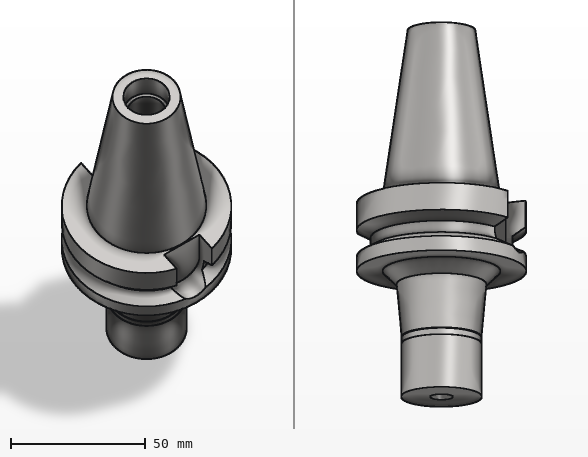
import cadquery as cq

TOTAL_HEIGHT = 140.4
TAPER_BOTTOM = 75.1
FLANGE_TOP = 74.0
UPPER_LIP_BOTTOM = 63.7
GROOVE_TOP = 60.8
GROOVE_BOTTOM = 56.5
LOWER_LIP_TOP = 53.6
FLANGE_BOTTOM = 48.2
NECK_TOP = 43.1
NUT_HEIGHT = 22.6
NUT_BAND_HEIGHT = 20.2

TAPER_TOP_RADIUS = 12.6
TAPER_BOTTOM_RADIUS = 22.2
FLANGE_DIAMETER = 63.0
FLANGE_RADIUS = FLANGE_DIAMETER / 2
GROOVE_RADIUS = 26.4
SHOULDER_RADIUS = 21.9
NECK_TOP_RADIUS = 16.7

NUT_RADIUS = 15.0
NUT_BAND_RADIUS = 14.9
NUT_GAP = 0.3
SPIGOT_RADIUS = 11.8
SPIGOT_ENGAGEMENT = 11.2
NECK_BOTTOM = NUT_HEIGHT + NUT_GAP
NECK_BOTTOM_RADIUS = NUT_BAND_RADIUS
SPIGOT_BOTTOM = NUT_HEIGHT - SPIGOT_ENGAGEMENT

COUNTERBORE_RADIUS = 8.5
COUNTERBORE_DEPTH = 9.3
BORE_RADIUS = 7.2
BORE_BOTTOM = FLANGE_BOTTOM
THROUGH_HOLE_RADIUS = 4.2

SLOT_WIDTH = 16.1
SLOT_INNER_X = 22.5
SLOT_BOTTOM = 52.2


def cylinder(radius, bottom, top):
    """Upright cylinder on the Z axis."""
    return cq.Workplane("XY").workplane(offset=bottom).circle(radius).extrude(top - bottom)


def revolve_profile(points):
    """Revolve (radius, height) points around the Z axis."""
    return cq.Workplane("XZ").polyline(points).close().revolve(360, (0, 0), (0, 1))


def holder_blank():
    """Spigot, tapered neck, grooved flange and spindle taper."""
    return revolve_profile([
        (0, SPIGOT_BOTTOM),
        (SPIGOT_RADIUS, SPIGOT_BOTTOM),
        (SPIGOT_RADIUS, NECK_BOTTOM),
        (NECK_BOTTOM_RADIUS, NECK_BOTTOM),
        (NECK_TOP_RADIUS, NECK_TOP),
        (SHOULDER_RADIUS, FLANGE_BOTTOM),
        (FLANGE_RADIUS, FLANGE_BOTTOM),
        (FLANGE_RADIUS, LOWER_LIP_TOP),
        (GROOVE_RADIUS, GROOVE_BOTTOM),
        (GROOVE_RADIUS, GROOVE_TOP),
        (FLANGE_RADIUS, UPPER_LIP_BOTTOM),
        (FLANGE_RADIUS, FLANGE_TOP),
        (TAPER_BOTTOM_RADIUS, FLANGE_TOP),
        (TAPER_BOTTOM_RADIUS, TAPER_BOTTOM),
        (TAPER_TOP_RADIUS, TOTAL_HEIGHT),
        (0, TOTAL_HEIGHT),
    ])


def drive_slot(side):
    """Cutter for one drive slot; side is -1 or 1 along X."""
    half_width = SLOT_WIDTH / 2
    arc_center_z = SLOT_BOTTOM + half_width
    return (
        cq.Workplane("YZ")
        .workplane(offset=side * SLOT_INNER_X)
        .moveTo(-half_width, FLANGE_TOP)
        .lineTo(-half_width, arc_center_z)
        .threePointArc((0, SLOT_BOTTOM), (half_width, arc_center_z))
        .lineTo(half_width, FLANGE_TOP)
        .close()
        .extrude(side * (FLANGE_RADIUS - SLOT_INNER_X))
    )


def make_holder():
    """Tool holder with its stepped bore and two drive slots."""
    body = holder_blank()
    body = body.cut(cylinder(THROUGH_HOLE_RADIUS, SPIGOT_BOTTOM, TOTAL_HEIGHT))
    body = body.cut(cylinder(BORE_RADIUS, BORE_BOTTOM, TOTAL_HEIGHT))
    body = body.cut(cylinder(COUNTERBORE_RADIUS, TOTAL_HEIGHT - COUNTERBORE_DEPTH, TOTAL_HEIGHT))
    for side in (-1, 1):
        body = body.cut(drive_slot(side))
    return body


def make_clamping_nut():
    """Round nut with a slightly narrower band on top and a recess for the spigot."""
    body = cylinder(NUT_RADIUS, 0, NUT_BAND_HEIGHT)
    body = body.union(cylinder(NUT_BAND_RADIUS, NUT_BAND_HEIGHT, NUT_HEIGHT))
    body = body.cut(cylinder(SPIGOT_RADIUS, SPIGOT_BOTTOM, NUT_HEIGHT))
    return body.cut(cylinder(THROUGH_HOLE_RADIUS, 0, SPIGOT_BOTTOM))


holder = make_holder()
clamping_nut = make_clamping_nut()

result = cq.Compound.makeCompound([*holder.solids().vals(), *clamping_nut.solids().vals()])